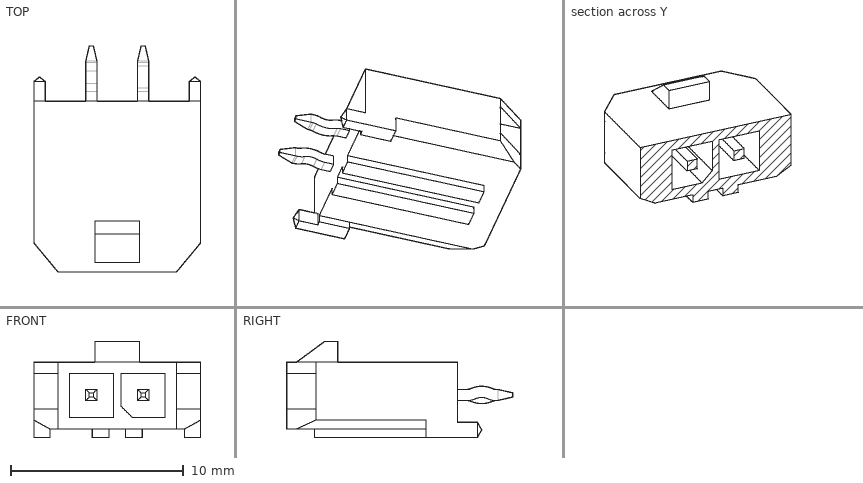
import cadquery as cq
import math


body_width = 9.65
body_length = 9.89
body_height = 3.87
wall = 0.65
half_width = body_width / 2
corner_width = 1.4
corner_length = 1.69
recess_bottom = 1.15

pitch = 3.0
pocket_size = 2.55
pocket_depth = 7.85
pocket_bottom = body_height - wall - pocket_size
key_chamfer = 0.65

latch_width = 2.59
latch_height = 1.2
latch_toe = 0.56
latch_crest = 2.2
latch_back = 2.95

foot_height = 0.5
foot_width = 0.94
foot_length = 1.85
edge_rise = 0.52
rib_width = 1.0
rib_spacing = 1.92
rib_front = 1.6
post_width = 0.67
post_height = 0.9
post_straight = 1.14
post_point = 0.26

pin_size = 0.65
pin_height = 1.98
pin_tip_size = 0.25
pin_taper = 0.86
pin_front = 1.96
pin_rear = 13.08
kink_centre = body_length + 1.39
kink_rise = 0.18
kink_half_length = 0.84
kink_inflection = 0.5


def box(x_range, y_range, z_range):
    """Box spanning the given (low, high) ranges."""
    (x0, x1), (y0, y1), (z0, z1) = x_range, y_range, z_range
    return cq.Workplane("XY").box(x1 - x0, y1 - y0, z1 - z0, centered=False).translate((x0, y0, z0))


def across(profile, width):
    """Extrude a profile drawn in Y and Z across X, centred on X = 0."""
    return profile.close().extrude(width / 2, both=True)


def both_sides(solid):
    """Join a solid with its mirror image on the other X side."""
    return solid.union(solid.mirror("YZ"))


def make_housing():
    """Housing block with cut front corners and bevelled lower side edges."""
    half_front = half_width - corner_width
    housing = (
        cq.Workplane("XY")
        .moveTo(-half_front, 0)
        .lineTo(half_front, 0)
        .lineTo(half_width, corner_length)
        .lineTo(half_width, body_length)
        .lineTo(-half_width, body_length)
        .lineTo(-half_width, corner_length)
        .close()
        .extrude(body_height)
    )
    bevel = (
        cq.Workplane("XZ")
        .moveTo(half_width - foot_width, 0)
        .lineTo(half_width, 0)
        .lineTo(half_width, edge_rise)
        .close()
        .extrude(foot_length - body_length)
    )
    recess = box(
        (half_width - corner_width, half_width),
        (0, corner_length),
        (recess_bottom, body_height - wall),
    )
    return housing.cut(both_sides(bevel)).cut(both_sides(recess))


def make_pocket():
    """Square contact pocket centred on X = 0."""
    half = pocket_size / 2
    return box((-half, half), (0, pocket_depth), (pocket_bottom, pocket_bottom + pocket_size))


def make_keyed_pocket():
    """Contact pocket with its lower -X corner bevelled for keying."""
    return make_pocket().edges("|Y").edges("<X and <Z").chamfer(key_chamfer)


def make_latch():
    """Ramp rising rearward to a flat crest."""
    profile = (
        cq.Workplane("YZ")
        .moveTo(latch_toe, body_height)
        .lineTo(latch_crest, body_height + latch_height)
        .lineTo(latch_back, body_height + latch_height)
        .lineTo(latch_back, body_height)
    )
    return across(profile, latch_width)


def make_rib():
    """Standoff rib along the underside."""
    rib_inner = (rib_spacing - rib_width) / 2
    return box((rib_inner, rib_inner + rib_width), (rib_front, body_length), (-foot_height, 0))


def make_foot():
    """Rear foot block that fills the bevelled edge down to the board."""
    return box(
        (half_width - foot_width, half_width),
        (body_length - foot_length, body_length),
        (-foot_height, edge_rise),
    )


def make_post():
    """Rectangular locating post running rearward to a pyramid point."""
    start = body_length - foot_length
    shoulder = body_length + post_straight
    point = shoulder + post_point
    half = post_width / 2
    plan = (
        cq.Workplane("XY")
        .polyline([(-half, start), (half, start), (half, shoulder), (0, point), (-half, shoulder)])
        .close()
        .extrude(post_height)
    )
    side = across(
        cq.Workplane("YZ").polyline(
            [(start, 0), (start, post_height), (shoulder, post_height), (point, post_height / 2), (shoulder, 0)]
        ),
        post_width,
    )
    return plan.intersect(side).translate((half_width - half, 0, -foot_height))


def kinked_edge(profile, offset, direction):
    """Trace one pin edge rearward over the kink, at a height offset from the pin's centre line."""
    angle = 2 * math.atan(kink_rise / kink_half_length)
    inflection_rise = (kink_half_length - kink_inflection) * math.tan(angle / 2)
    reach = kink_inflection + direction * offset * math.sin(angle)
    inflection_z = direction * inflection_rise + offset * math.cos(angle)
    return (
        profile.lineTo(kink_centre - kink_half_length, offset)
        .tangentArcPoint((kink_centre - reach, inflection_z), relative=False)
        .threePointArc((kink_centre, direction * kink_rise + offset), (kink_centre + reach, inflection_z))
        .tangentArcPoint((kink_centre + kink_half_length, offset), relative=False)
    )


def make_pin(direction):
    """Square pin, tapered at both ends, with a tail kinked up (+1) or down (-1)."""
    half = pin_size / 2
    half_tip = pin_tip_size / 2
    front_shoulder = pin_front + pin_taper
    rear_shoulder = pin_rear - pin_taper

    side = None
    for sign in (1, -1):
        edge = (
            cq.Workplane("YZ")
            .moveTo(pin_front, 0)
            .lineTo(pin_front, sign * half_tip)
            .lineTo(front_shoulder, sign * half)
        )
        edge = kinked_edge(edge, sign * half, direction)
        edge = edge.lineTo(rear_shoulder, sign * half).lineTo(pin_rear, sign * half_tip).lineTo(pin_rear, 0)
        part = across(edge, pin_size)
        side = part if side is None else side.union(part)

    plan = (
        cq.Workplane("XY")
        .moveTo(-half_tip, pin_front)
        .lineTo(half_tip, pin_front)
        .lineTo(half, front_shoulder)
        .lineTo(half, rear_shoulder)
        .lineTo(half_tip, pin_rear)
        .lineTo(-half_tip, pin_rear)
        .lineTo(-half, rear_shoulder)
        .lineTo(-half, front_shoulder)
        .close()
        .extrude(pin_size, both=True)
    )
    return side.intersect(plan).clean().translate((0, 0, pin_height))


housing = (
    make_housing()
    .union(both_sides(make_foot()))
    .union(both_sides(make_rib()))
    .union(both_sides(make_post()))
    .union(make_latch())
    .cut(make_pocket().translate((-pitch / 2, 0, 0)))
    .cut(make_keyed_pocket().translate((pitch / 2, 0, 0)))
)

result = housing.union(make_pin(-1).translate((-pitch / 2, 0, 0)))
result = result.union(make_pin(1).translate((pitch / 2, 0, 0)))